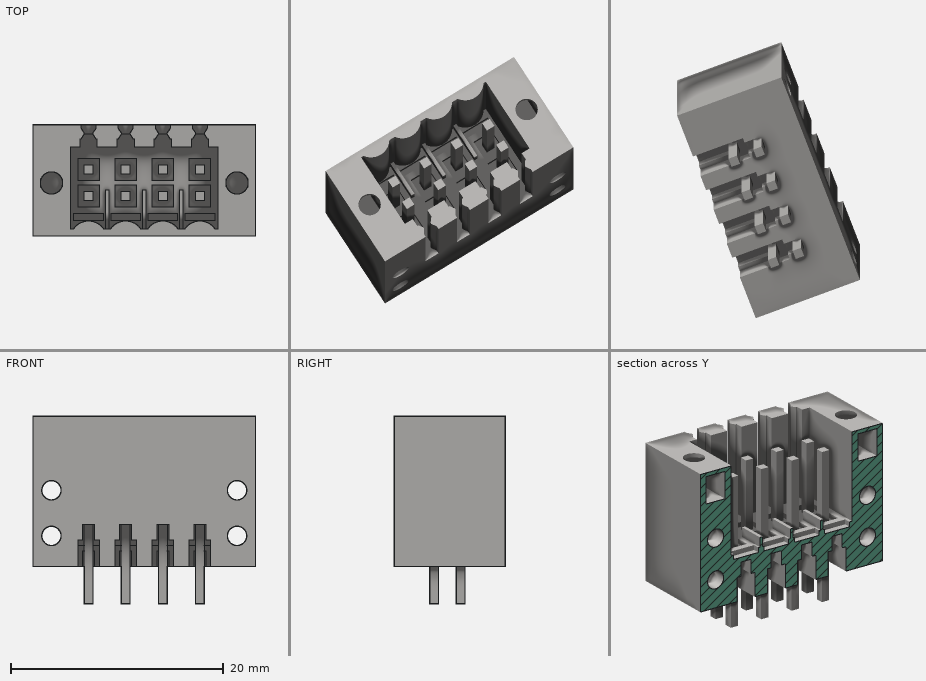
import cadquery as cq

LENGTH = 21.0
WIDTH = 10.5
HEIGHT = 14.2
FRONT_Y = -WIDTH / 2
REAR_Y = WIDTH / 2

PITCH = 3.5
POLES = 4
ROW_SPACING = 2.5
REAR_ROW_Y = 1.03
FRONT_ROW_Y = REAR_ROW_Y - ROW_SPACING
COLUMNS = [(i - (POLES - 1) / 2) * PITCH for i in range(POLES)]
GAPS = [x + PITCH / 2 for x in COLUMNS[:-1]]

PIN_SIDE = 0.84
PIN_BOTTOM_Z = -3.5
PIN_TOP_Z = 11.95

CAVITY_LENGTH = 13.9
CAVITY_FRONT_Y = -4.6
CAVITY_REAR_Y = 3.13
FLOOR_Z = 5.0

GUIDE_RADIUS = 1.74
GUIDE_RISE = 0.77

RIB_THICKNESS = 0.34
RIB_REAR_Y = -0.91
RIB_HEIGHT = 1.0
PIN_RECESS_SIDE = 2.03
SLIT_LENGTH = 2.8
SLIT_FRONT_Y = -3.8
SLIT_REAR_Y = -3.12
RECESS_DEPTH = 0.5

MOUTH_WIDTH = 1.42
MOUTH_END_Y = 4.93
NECK_WIDTH = 0.82
NECK_REAR_Y = 4.47
NECK_FRONT_Y = 4.36
FLARE_WIDTH = 1.38
FLARE_END_Y = 3.92
CHANNEL_WIDTH = 1.63
MOUTH_FLOOR_Z = FLOOR_Z + 1.0

END_HOLE_X = 8.75
CROSS_HOLE_DIAMETER = 1.8
CROSS_HOLE_HEIGHTS = (2.9, 7.2)
TOP_HOLE_DIAMETER = 2.1
TOP_HOLE_Y = -0.24
TOP_HOLE_DEPTH = 0.43
END_POCKET_LENGTH = 7.0
END_POCKET_FLOOR_Z = HEIGHT - 3.2

OPENING_WIDTH = 2.03
OPENING_HEIGHT = 2.5
OPENING_REAR_Y = FRONT_ROW_Y
TALL_OPENING_WIDTH = 1.12
TALL_OPENING_HEIGHT = 3.97
MIDDLE_OPENING_HEIGHT = 1.98
MIDDLE_OPENING_REAR_Y = (FRONT_ROW_Y + REAR_ROW_Y) / 2
INNER_OPENING_HEIGHT = 1.46
INNER_OPENING_REAR_Y = REAR_ROW_Y


def block(x, x_size, y_start, y_end, z_start, z_end):
    """Box centred on x, between the given Y and Z limits."""
    corner = (x - x_size / 2, y_start, z_start)
    return cq.Workplane("XY").box(x_size, y_end - y_start, z_end - z_start, centered=False).translate(corner)


def mating_cavity():
    """Cavity with the rounded guides left standing on its front wall."""
    cavity = block(0, CAVITY_LENGTH, CAVITY_FRONT_Y, CAVITY_REAR_Y, FLOOR_Z, HEIGHT)
    guide_y = CAVITY_FRONT_Y + GUIDE_RISE - GUIDE_RADIUS
    for x in COLUMNS:
        guide = (
            cq.Workplane("XY", origin=(x, guide_y, FLOOR_Z))
            .circle(GUIDE_RADIUS)
            .extrude(HEIGHT - FLOOR_Z)
        )
        cavity = cavity.cut(guide)
    return cavity


def mirrored_prism(x, half_profile, floor_z):
    """Prism up to the housing top; half_profile lists (half width, y) along one side."""
    right_side = [(x + half_width, y) for half_width, y in half_profile]
    left_side = [(x - half_width, y) for half_width, y in reversed(half_profile)]
    return (
        cq.Workplane("XY", origin=(0, 0, floor_z))
        .polyline(right_side + left_side)
        .close()
        .extrude(HEIGHT - floor_z)
    )


def coding_slot(x):
    """Rear mouth and the deeper channel that joins it to the cavity."""
    mouth = mirrored_prism(
        x,
        [
            (MOUTH_WIDTH / 2, REAR_Y),
            (MOUTH_WIDTH / 2, MOUTH_END_Y),
            (NECK_WIDTH / 2, NECK_REAR_Y),
            (NECK_WIDTH / 2, NECK_FRONT_Y),
        ],
        MOUTH_FLOOR_Z,
    )
    channel = mirrored_prism(
        x,
        [
            (NECK_WIDTH / 2, NECK_FRONT_Y),
            (FLARE_WIDTH / 2, FLARE_END_Y),
            (CHANNEL_WIDTH / 2, FLARE_END_Y),
            (CHANNEL_WIDTH / 2, CAVITY_REAR_Y),
        ],
        FLOOR_Z,
    )
    return mouth.union(channel)


def floor_recesses(x):
    """Square recess around each pin and a slit beside the front guide."""
    recess_z = FLOOR_Z - RECESS_DEPTH
    recesses = block(x, SLIT_LENGTH, SLIT_FRONT_Y, SLIT_REAR_Y, recess_z, FLOOR_Z)
    for y in (FRONT_ROW_Y, REAR_ROW_Y):
        half = PIN_RECESS_SIDE / 2
        recesses = recesses.union(block(x, PIN_RECESS_SIDE, y - half, y + half, recess_z, FLOOR_Z))
    return recesses


def bottom_opening(x):
    """Opening in the front wall that steps down towards the rear pin."""
    wide = block(x, OPENING_WIDTH, FRONT_Y, OPENING_REAR_Y, 0, OPENING_HEIGHT)
    tall = block(x, TALL_OPENING_WIDTH, FRONT_Y, OPENING_REAR_Y, 0, TALL_OPENING_HEIGHT)
    middle = block(x, OPENING_WIDTH, FRONT_Y, MIDDLE_OPENING_REAR_Y, 0, MIDDLE_OPENING_HEIGHT)
    inner = block(x, TALL_OPENING_WIDTH, FRONT_Y, INNER_OPENING_REAR_Y, 0, INNER_OPENING_HEIGHT)
    return wide.union(tall).union(middle).union(inner)


def end_holes(x):
    """Two holes through the width, and a shallow top hole over a hidden pocket."""
    roof_z = HEIGHT - TOP_HOLE_DEPTH
    half = END_POCKET_LENGTH / 2
    holes = block(x, TOP_HOLE_DIAMETER, TOP_HOLE_Y - half, TOP_HOLE_Y + half, END_POCKET_FLOOR_Z, roof_z)
    top_hole = (
        cq.Workplane("XY", origin=(x, TOP_HOLE_Y, roof_z))
        .circle(TOP_HOLE_DIAMETER / 2)
        .extrude(TOP_HOLE_DEPTH)
    )
    holes = holes.union(top_hole)
    cross_holes = (
        cq.Workplane("XZ", origin=(0, REAR_Y, 0))
        .pushPoints([(x, z) for z in CROSS_HOLE_HEIGHTS])
        .circle(CROSS_HOLE_DIAMETER / 2)
        .extrude(WIDTH)
    )
    return holes.union(cross_holes)


def pin(x, y):
    """Straight square pin through the cavity floor."""
    return block(x, PIN_SIDE, y - PIN_SIDE / 2, y + PIN_SIDE / 2, PIN_BOTTOM_Z, PIN_TOP_Z)


result = block(0, LENGTH, FRONT_Y, REAR_Y, 0, HEIGHT).cut(mating_cavity())

for column_x in COLUMNS:
    result = result.cut(coding_slot(column_x))
    result = result.cut(floor_recesses(column_x))
    result = result.cut(bottom_opening(column_x))

for end_x in (-END_HOLE_X, END_HOLE_X):
    result = result.cut(end_holes(end_x))

for gap_x in GAPS:
    rib = block(gap_x, RIB_THICKNESS, CAVITY_FRONT_Y, RIB_REAR_Y, FLOOR_Z, FLOOR_Z + RIB_HEIGHT)
    result = result.union(rib)

for column_x in COLUMNS:
    for row_y in (FRONT_ROW_Y, REAR_ROW_Y):
        result = result.union(pin(column_x, row_y))